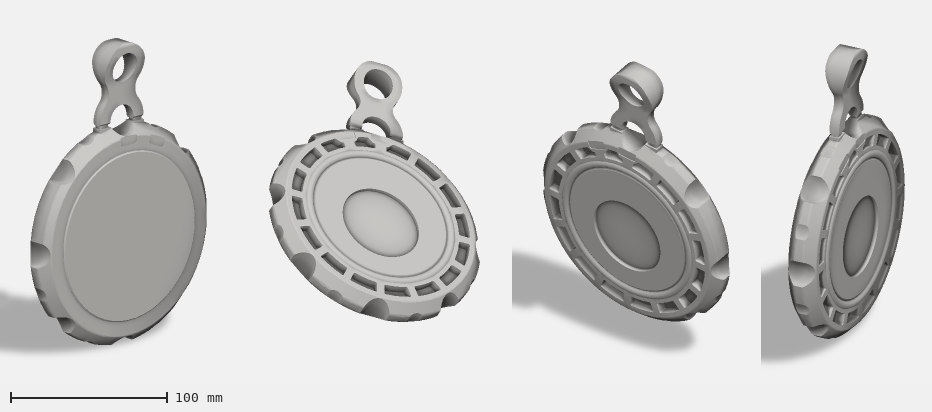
import cadquery as cq
import math


half_thickness = 10.0
rim_radius = 73.0
low_rim_radius = 70.0
face_radius = 66.1
rim_rounding = 2.5
face_rounding = 1.5
half_bevel_angle = math.radians(45.0 / 2)
notch_pitch = 45.0
low_rim_start = 135.0

raise_height = 1.0
bead_outer_radius = 51.9
bead_crest_radius = 49.0
bead_inner_radius = 46.7
bead_groove_depth = 0.8
centre_radius = 45.5
back_plate_radius = 56.3
back_plate_chamfer = 0.9

centre_pocket_radius = 26.7
centre_pocket_drop = 5.0
centre_pocket_depth = 2.8

pocket_count = 16
pocket_inner_radius = 54.7
pocket_outer_radius = 62.3
pocket_web = 5.2
label_web = 7.6
pocket_corner = 1.0
pocket_depth = 6.0

label_angles = (90.0, 67.5)
label_width = 13.8
label_inner_distance = 60.7
label_corner = 1.5
label_depth = 0.6
label_wall = 2.2

notch_radius = 9.8
notch_distance = 76.3
small_notch_radius = 10.0
small_notch_distance = 81.5

overall_height = 200.4
lowest_depth = (rim_radius**2 + notch_distance**2 - notch_radius**2) / (2 * notch_distance)
ring_radius = 16.6
ring_flat_half_width = 1.5
ring_top = overall_height - lowest_depth
ring_height = ring_top - math.sqrt(ring_radius**2 - ring_flat_half_width**2)
ring_hole_radius = 10.0
ring_half_width = 8.2
ring_edge_rounding = 2.5
lobe_radius = 18.5
neck_radius = 10.5
plate_half_width = 3.5
plate_bottom = 75.0
plate_chamfer = 1.2
taper_bottom = 102.0
taper_top = 119.0
taper_bottom_rounding = 16.0
taper_top_rounding = 24.0

link_inner = 11.0
link_outer = 17.6
link_half_width = plate_half_width - plate_chamfer
block_inner = 7.0
block_outer = 18.6
block_top = 73.0
block_bottom = 68.1


def polar(radius, angle):
    """Point (y, z) at an angle in degrees from +Y towards +Z."""
    return radius * math.cos(math.radians(angle)), radius * math.sin(math.radians(angle))


def rounded_rim(path, radius):
    """Continue a profile from the -X bevel round the rim to the +X bevel."""
    tangent = rim_rounding * math.tan(half_bevel_angle)
    slope = tangent * math.sqrt(0.5)
    half_width = half_thickness - (radius - face_radius)
    crown = half_width - tangent
    shoulder = crown + rim_rounding * math.sin(half_bevel_angle)
    shoulder_radius = radius - rim_rounding * (1 - math.cos(half_bevel_angle))
    return (
        path(-half_width - slope, radius - slope)
        .threePointArc((-shoulder, shoulder_radius), (-crown, radius))
        .lineTo(crown, radius)
        .threePointArc((shoulder, shoulder_radius), (half_width + slope, radius - slope))
    )


def full_disc():
    """Disc with its bead, grooved centre and rounded bevels, revolved about X."""
    tangent = face_rounding * math.tan(half_bevel_angle)
    slope = tangent * math.sqrt(0.5)
    front_side = (
        cq.Workplane("XY")
        .moveTo(-half_thickness, 0)
        .lineTo(-half_thickness, centre_radius)
        .lineTo(bead_groove_depth - half_thickness, bead_inner_radius)
        .threePointArc(
            (-half_thickness - raise_height, bead_crest_radius),
            (-half_thickness, bead_outer_radius),
        )
        .lineTo(-half_thickness, face_radius - tangent)
        .tangentArcPoint((slope - half_thickness, face_radius + slope), relative=False)
    )
    profile = (
        rounded_rim(front_side.lineTo, rim_radius)
        .lineTo(half_thickness - slope, face_radius + slope)
        .tangentArcPoint((half_thickness, face_radius - tangent), relative=False)
        .lineTo(half_thickness, 0)
        .close()
    )
    return profile.revolve(360, (0, 0, 0), (1, 0, 0))


def rim_reduction():
    """Material taken off the rim over one notch pitch to leave the reduced rim."""
    low_edge = rounded_rim(cq.Workplane("XY").moveTo, low_rim_radius)
    clear_radius = rim_radius + half_thickness
    profile = low_edge.lineTo(half_thickness, clear_radius).lineTo(-half_thickness, clear_radius)
    cutter = profile.close().revolve(notch_pitch, (0, 0, 0), (1, 0, 0))
    return cutter.rotate((0, 0, 0), (1, 0, 0), low_rim_start)


def cylinder_along_x(y, z, radius):
    """Cylinder that passes through the whole thickness."""
    reach = 2 * half_thickness
    return cq.Workplane("YZ", origin=(-reach, 0, 0)).center(y, z).circle(radius).extrude(2 * reach)


def label_block(angle, margin, x_start, depth):
    """Block over a label recess, grown by a margin, that reaches outwards past the rim."""
    inner = label_inner_distance - margin
    block = (
        cq.Workplane("YZ", origin=(x_start, 0, 0))
        .center((inner + rim_radius) / 2, 0)
        .rect(rim_radius - inner, label_width + 2 * margin)
        .extrude(depth)
        .edges("|X and <Y")
    )
    rounded = block.fillet(label_corner) if margin == 0 else block.chamfer(label_corner + margin)
    return rounded.rotate((0, 0, 0), (1, 0, 0), angle)


def face_pocket(index):
    """One pocket of the ring: parallel-sided webs, round ends, clear of the label recesses."""
    pitch = 360.0 / pocket_count
    middle_angle = (index + 0.5) * pitch

    def corner(radius, side):
        at_label = middle_angle + side * pitch / 2 in label_angles
        web = label_web if at_label else pocket_web
        web_angle = math.degrees(math.asin(web / 2 / radius))
        return polar(radius, side * (pitch / 2 - web_angle))

    pocket = (
        cq.Workplane("YZ", origin=(-half_thickness, 0, 0))
        .moveTo(*corner(pocket_inner_radius, -1))
        .lineTo(*corner(pocket_outer_radius, -1))
        .threePointArc((pocket_outer_radius, 0), corner(pocket_outer_radius, 1))
        .lineTo(*corner(pocket_inner_radius, 1))
        .threePointArc((pocket_inner_radius, 0), corner(pocket_inner_radius, -1))
        .close()
        .extrude(pocket_depth)
        .rotate((0, 0, 0), (1, 0, 0), middle_angle)
    )
    for angle in label_angles:
        pocket = pocket.cut(label_block(angle, label_wall, -half_thickness, pocket_depth))
    return pocket.edges("|X").fillet(pocket_corner)


def hanger():
    """Tapered ring and two-legged plate joined by a concave neck on each side."""
    spacing = ring_height - notch_distance
    to_ring = ring_radius + neck_radius
    to_lobe = lobe_radius + neck_radius
    neck_rise = (to_lobe**2 - to_ring**2 + spacing**2) / (2 * spacing)
    neck_y = math.sqrt(to_lobe**2 - neck_rise**2)
    neck_z = notch_distance + neck_rise
    ring_y = neck_y * ring_radius / to_ring
    ring_z = ring_height + (neck_z - ring_height) * ring_radius / to_ring
    lobe_y = neck_y * lobe_radius / to_lobe
    lobe_z = notch_distance + neck_rise * lobe_radius / to_lobe
    lobe_mid = polar(lobe_radius, math.degrees(math.atan2(neck_rise, neck_y)) / 2)
    lobe_mid_z = notch_distance + lobe_mid[1]
    waist_y = neck_y - neck_radius
    shoulder_y, shoulder_rise = polar(ring_radius, 45)
    shoulder_z = ring_height + shoulder_rise

    outline = (
        cq.Workplane("YZ", origin=(-ring_half_width, 0, 0))
        .moveTo(-lobe_radius, plate_bottom)
        .lineTo(lobe_radius, plate_bottom)
        .lineTo(lobe_radius, notch_distance)
        .threePointArc((lobe_mid[0], lobe_mid_z), (lobe_y, lobe_z))
        .threePointArc((waist_y, neck_z), (ring_y, ring_z))
        .threePointArc((shoulder_y, shoulder_z), (ring_flat_half_width, ring_top))
        .lineTo(-ring_flat_half_width, ring_top)
        .threePointArc((-shoulder_y, shoulder_z), (-ring_y, ring_z))
        .threePointArc((-waist_y, neck_z), (-lobe_y, lobe_z))
        .threePointArc((-lobe_mid[0], lobe_mid_z), (-lobe_radius, notch_distance))
        .close()
        .extrude(2 * ring_half_width)
    )
    side_profile = (
        cq.Workplane("XZ", origin=(0, lobe_radius, 0))
        .polyline([
            (-plate_half_width, plate_bottom),
            (plate_half_width, plate_bottom),
            (plate_half_width, taper_bottom),
            (ring_half_width, taper_top),
            (ring_half_width, ring_top),
            (-ring_half_width, ring_top),
            (-ring_half_width, taper_top),
            (-plate_half_width, taper_bottom),
        ])
        .close()
        .extrude(2 * lobe_radius)
    )

    def edges_at(height):
        reach = 2 * ring_half_width
        margin = 0.2
        return cq.selectors.BoxSelector(
            (-reach, -reach, height - margin), (reach, reach, height + margin)
        )

    side_profile = (
        side_profile
        .edges("|Y").edges(edges_at(ring_top)).fillet(ring_edge_rounding)
        .edges("|Y").edges(edges_at(taper_top)).fillet(taper_top_rounding)
        .edges("|Y").edges(edges_at(taper_bottom)).fillet(taper_bottom_rounding)
        .edges("|Y").edges(edges_at(plate_bottom)).chamfer(plate_chamfer)
    )
    return outline.intersect(side_profile).cut(cylinder_along_x(0, ring_height, ring_hole_radius))


def box_between(half_width, y_range, z_range):
    """Box centred on X = 0 that fills the given Y and Z ranges."""
    box = cq.Workplane("XY").box(2 * half_width, y_range[1] - y_range[0], z_range[1] - z_range[0])
    return box.translate((0, sum(y_range) / 2, sum(z_range) / 2))


def hanger_foot():
    """Narrow link on a block, on the +Y side."""
    link = box_between(link_half_width, (link_inner, link_outer), (block_bottom, plate_bottom))
    block = box_between(plate_half_width, (block_inner, block_outer), (block_bottom, block_top))
    return link.union(block)


disc = full_disc().cut(rim_reduction())
back_plate = (
    cq.Workplane("YZ")
    .circle(back_plate_radius)
    .extrude(half_thickness + raise_height)
    .faces(">X")
    .chamfer(back_plate_chamfer)
)
body = disc.union(back_plate)

foot = hanger_foot()
body = body.union(foot).union(foot.mirror("XZ")).union(hanger())

for step in range(round(360 / notch_pitch)):
    start_angle = step * notch_pitch
    body = body.cut(cylinder_along_x(*polar(notch_distance, start_angle), notch_radius))
    if start_angle != low_rim_start:
        middle = polar(small_notch_distance, start_angle + notch_pitch / 2)
        body = body.cut(cylinder_along_x(*middle, small_notch_radius))

centre_pocket = (
    cq.Workplane("YZ", origin=(-half_thickness, 0, 0))
    .center(0, -centre_pocket_drop)
    .circle(centre_pocket_radius)
    .extrude(centre_pocket_depth)
)
body = body.cut(centre_pocket)
for index in range(pocket_count):
    body = body.cut(face_pocket(index))
for angle in label_angles:
    for x_start in (-half_thickness, half_thickness - label_depth):
        body = body.cut(label_block(angle, 0, x_start, label_depth))

result = body